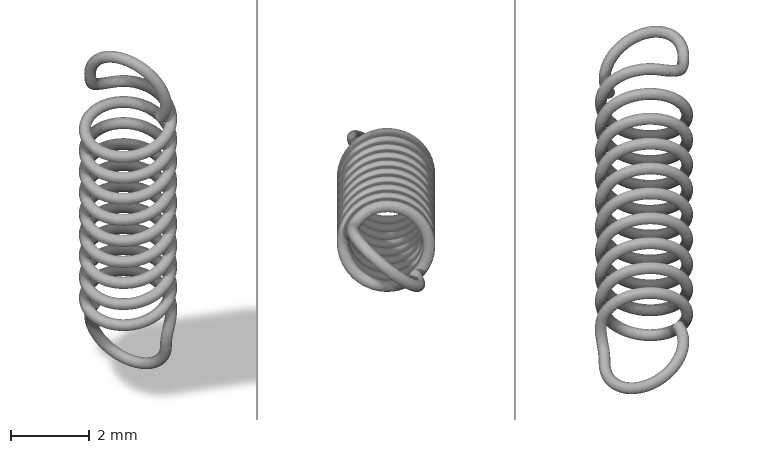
import cadquery as cq
import math

WIRE_DIAMETER = 0.3
OUTER_DIAMETER = 2.5
OVERALL_LENGTH = 11.8
COIL_LENGTH = 7.5
COIL_TURNS = 9.25
COIL_START_ANGLE = 45.0
HOOK_ANGLE = 210.0
HOOK_ROOT_ANGLE = 90.0

WIRE_RADIUS = WIRE_DIAMETER / 2
MEAN_RADIUS = (OUTER_DIAMETER - WIRE_DIAMETER) / 2
PITCH = COIL_LENGTH / COIL_TURNS
COIL_TOP = COIL_LENGTH / 2
HOOK_CENTER_Z = (OVERALL_LENGTH - OUTER_DIAMETER) / 2
COIL_END_ANGLE = (COIL_START_ANGLE + 360 * COIL_TURNS) % 360
HOOK_START_ANGLE = 180.0


def point_on_cylinder(angle, z):
    """Point on the mean coil cylinder at an angle in degrees about Z."""
    radians = math.radians(angle)
    return cq.Vector(MEAN_RADIUS * math.cos(radians), MEAN_RADIUS * math.sin(radians), z)


def helix_tangent(angle):
    """Rising direction of the right-handed coil at an angle in degrees about Z."""
    radians = math.radians(angle)
    rise_per_radian = PITCH / (2 * math.pi)
    return cq.Vector(-MEAN_RADIUS * math.sin(radians), MEAN_RADIUS * math.cos(radians), rise_per_radian)


def sweep_wire(path, start, direction):
    """Round wire swept along a path that leaves start in the given direction."""
    section = cq.Workplane(cq.Plane(origin=start, normal=direction)).circle(WIRE_RADIUS)
    return section.sweep(cq.Workplane(obj=path), isFrenet=True)


def coil():
    """Helical coil centred on the origin."""
    helix = cq.Wire.makeHelix(PITCH, COIL_LENGTH, MEAN_RADIUS)
    helix = helix.rotate(cq.Vector(0, 0, 0), cq.Vector(0, 0, 1), COIL_START_ANGLE)
    helix = helix.translate(cq.Vector(0, 0, -COIL_TOP))
    start = point_on_cylinder(COIL_START_ANGLE, -COIL_TOP)
    return sweep_wire(helix, start, helix_tangent(COIL_START_ANGLE))


def upper_bend():
    """Wire that turns upward, on the coil cylinder, from the coil end to the hook start."""
    halfway = math.radians(45)
    bend_angle = HOOK_START_ANGLE - COIL_END_ANGLE
    bend_height = HOOK_CENTER_Z - COIL_TOP
    start = point_on_cylinder(COIL_END_ANGLE, COIL_TOP)
    middle = point_on_cylinder(
        COIL_END_ANGLE + bend_angle * math.sin(halfway),
        COIL_TOP + bend_height * (1 - math.cos(halfway)),
    )
    end = point_on_cylinder(HOOK_START_ANGLE, HOOK_CENTER_Z)
    start_tangent = helix_tangent(COIL_END_ANGLE)
    path = cq.Edge.makeSpline([start, middle, end], tangents=[start_tangent, cq.Vector(0, 0, 1)])
    return sweep_wire(cq.Wire.assembleEdges([path]), start, start_tangent)


def upper_hook(start_angle, end_angle):
    """Arc of the upper hook in the XZ plane, with angles measured from -X over the top."""
    center = (0, 0, HOOK_CENTER_Z)
    section = cq.Workplane("XY", origin=center).center(-MEAN_RADIUS, 0).circle(WIRE_RADIUS)
    arc = section.revolve(end_angle - start_angle, (MEAN_RADIUS, 0), (MEAN_RADIUS, 1))
    return arc.rotate(center, (0, 1, HOOK_CENTER_Z), start_angle)


def to_lower_end(body):
    """Half turn about Y, which carries the upper end of the spring onto the lower end."""
    return body.rotate((0, 0, 0), (0, 1, 0), 180)


spring = (
    coil()
    .union(upper_bend())
    .union(upper_hook(0, HOOK_ANGLE))
    .union(to_lower_end(upper_bend()))
    .union(to_lower_end(upper_hook(0, HOOK_ROOT_ANGLE)))
)

hook_tip = to_lower_end(upper_hook(HOOK_ROOT_ANGLE, HOOK_ANGLE))

result = cq.Compound.makeCompound([spring.solids().val(), hook_tip.val()])